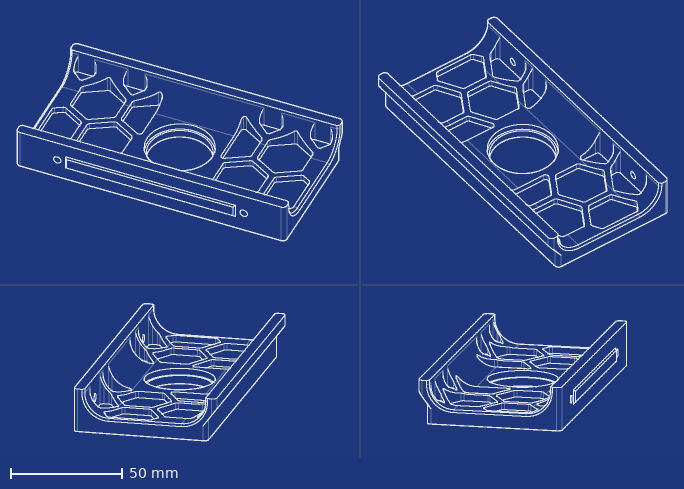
import cadquery as cq
import math

length = 132.0
width = 66.0
height = 20.0
corner_radius = 2.0

overhang = 4.0
overhang_lip_height = 5.0
overhang_slope_height = 5.3

wall = 5.0
trough_depth = 13.1
trough_radius = 11.2
trough_end_chamfer = 1.0
trough_width = width - 2 * wall
floor_z = height - trough_depth

opening_diameter = 30.0
step_diameter = 32.0
recess_depth = 3.0

hex_across_flats = 22.0
hex_pitch = 25.0
hex_row_pitch = hex_pitch * math.sqrt(3) / 2
hex_row_start = -29.7
hex_row_count = 4
hex_column_start = 20.9
hex_columns = 2
field_inner_x = 19.3
field_outer_x = 63.1
pocket_corner_radius = 1.5
pocket_floor_z = floor_z - recess_depth
rear_pocket_floor_z = 7.9

bar_length = 83.2
bar_height = 6.6
bar_thickness = 0.8
bar_bevel_angle = 45
hole_diameter = 3.5
hole_spacing = 91.3
hole_depth = 2 * wall


def rounded_block(y_min, y_max):
    """Full-height block with rounded vertical edges."""
    return (
        cq.Workplane("XY")
        .rect(length, y_max - y_min)
        .extrude(height)
        .edges("|Z")
        .fillet(corner_radius)
        .translate((0, (y_min + y_max) / 2, 0))
    )


def make_body():
    """Base block joined to the wider upper block with its sloped rear underside."""
    front_y = -width / 2
    rear_y = width / 2
    base = rounded_block(front_y, rear_y - overhang)

    lip_z = height - overhang_lip_height
    slope_run = lip_z * overhang / overhang_slope_height
    below_slope = (
        cq.Workplane("YZ")
        .polyline([(rear_y, lip_z), (rear_y, 0), (rear_y - slope_run, 0)])
        .close()
        .extrude(length / 2, both=True)
    )
    return base.union(rounded_block(front_y, rear_y).cut(below_slope))


def trough_section(grow, x):
    """Open-topped U profile, enlarged by grow, on the plane at x."""
    half = trough_width / 2 + grow
    flat_half = trough_width / 2 - trough_radius
    radius = trough_radius + grow
    return (
        cq.Workplane("YZ", origin=(x, 0, 0))
        .moveTo(-half, height)
        .lineTo(-half, floor_z + trough_radius)
        .radiusArc((-flat_half, floor_z - grow), -radius)
        .lineTo(flat_half, floor_z - grow)
        .radiusArc((half, floor_z + trough_radius), -radius)
        .lineTo(half, height)
        .close()
    )


def make_trough():
    """Trough with a flared chamfer at both ends."""
    trough = trough_section(0, -length / 2).extrude(length)
    section = trough_section(0, length / 2 - trough_end_chamfer).wire().val()
    mouth = trough_section(trough_end_chamfer, length / 2).wire().val()
    flare = cq.Workplane(cq.Solid.makeLoft([section, mouth], True))
    return trough.union(flare).union(flare.mirror("YZ"))


def make_pocket(x, y, bottom_z):
    """One hexagonal pocket with rounded corners, cut off by the limits of the pocket field."""
    field = (
        cq.Workplane("XY", origin=((field_inner_x + field_outer_x) / 2, 0, bottom_z))
        .rect(field_outer_x - field_inner_x, trough_width)
        .extrude(height - bottom_z)
    )
    hexagon = (
        cq.Workplane("XY")
        .polygon(6, hex_across_flats / math.cos(math.pi / 6))
        .extrude(height)
        .rotate((0, 0, 0), (0, 0, 1), 30)
        .translate((x, y, bottom_z))
    )
    return hexagon.intersect(field).edges("|Z").fillet(pocket_corner_radius)


def make_honeycomb():
    """Pockets for the +X half; the row against the rear wall is shallower."""
    pockets = cq.Workplane("XY")
    for row in range(hex_row_count):
        is_rear_row = row == hex_row_count - 1
        bottom_z = rear_pocket_floor_z if is_rear_row else pocket_floor_z
        shift = (row % 2) * hex_pitch / 2
        y = hex_row_start + row * hex_row_pitch
        for column in range(hex_columns):
            x = hex_column_start + shift + column * hex_pitch
            pockets = pockets.add(make_pocket(x, y, bottom_z))
    return pockets.combine()


def make_opening():
    """Round opening with a shallow wider step at the trough floor."""
    bore = cq.Workplane("XY").circle(opening_diameter / 2).extrude(floor_z)
    step = (
        cq.Workplane("XY", origin=(0, 0, pocket_floor_z))
        .circle(step_diameter / 2)
        .extrude(recess_depth)
    )
    return bore.union(step)


def make_bar():
    """Raised bar on the front wall with all outer edges bevelled."""
    return (
        cq.Workplane("XZ", origin=(0, -width / 2, height / 2))
        .rect(bar_length, bar_height)
        .extrude(bar_thickness, taper=bar_bevel_angle)
    )


def make_front_holes():
    """Pair of holes through the front wall, one beyond each end of the bar."""
    return (
        cq.Workplane("XZ", origin=(0, -width / 2, height / 2))
        .pushPoints([(-hole_spacing / 2, 0), (hole_spacing / 2, 0)])
        .circle(hole_diameter / 2)
        .extrude(-hole_depth)
    )


honeycomb = make_honeycomb()
result = (
    make_body()
    .cut(make_trough())
    .cut(honeycomb)
    .cut(honeycomb.mirror("YZ"))
    .cut(make_opening())
    .cut(make_front_holes())
    .union(make_bar())
)